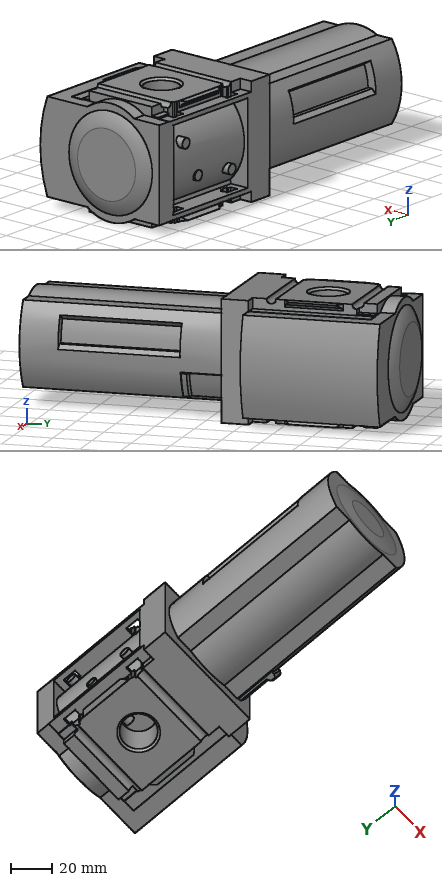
import cadquery as cq
import math

LENGTH = 192.0
BODY_SIZE = 62.0
HALF = BODY_SIZE / 2
OVERLAP = 1.0

FLANGE_FRONT = 105.0
FLANGE_BACK = 118.8
PAD_BACK = 181.2
PLATE_BACK = 188.7

LEDGE_Z = 25.5
COVER_Z = 25.7
COVER_EDGE_X = 40.3
COVER_CROWN_X = 44.83
PAD_HALF_X = 24.0
CAP_HALF_X = 15.0
CAP_CROWN_Z = 30.5
DOME_BASE_R = 26.5
DOME_TOP_R = 18.5
DOME_MID_R = 23.2
DOME_MID_Y = 190.7

PORT_Y = 150.1
PORT_D = 18.6
PORT_RIM_D = 21.1
PORT_DEPTH = 23.0
GROOVE_R = 2.4
GROOVE_STATIONS = (128.3, 172.0)
NOTCH_INNER_X = 20.0
NOTCH_FLOOR_Z = 26.3

LIP_REACH = 2.9
LIP_BEND_REACH = 0.8
LIP_LENGTH = 30.0
LIP_ROOT_Z = 27.5
LIP_BEND_Z = 28.8
LIP_TIP_Z = 30.5
LIP_TOP_Z = 31.0

SLOT_STATIONS = (129.6, 170.5)
SLOT_OUTER_X = 27.8
SLOT_NECK_X = 23.6
SLOT_INNER_X = 22.5
SLOT_HEAD_WIDTH = 7.5
SLOT_NECK_WIDTH = 4.5

WINDOW_FRONT = 121.5
WINDOW_BACK = 178.0
WINDOW_HALF_Z = 23.0
BOWL_R = 28.8
BOWL_HALF_Z = 21.0
BOWL_FOOT_X = 20.4
PIN_D = 5.5
TALL_PIN_X = 30.1
FLUSH_PIN_X = 28.5
PINS = (
    (167.5, 11.0, TALL_PIN_X),
    (156.0, -8.6, FLUSH_PIN_X),
    (132.5, -11.0, TALL_PIN_X),
)

GUARD_FRONT = 1.0
GUARD_HALF_X = 28.0
GUARD_FLAT_Z = 21.8
GUARD_CORNER_X = 21.7
GUARD_CROWN_Z = 24.67
GUARD_CROWN_HALF_X = 12.3
TIP_BASE_R = 21.7
TIP_FLAT_R = 11.3
GUARD_SIDE_RISE = GUARD_HALF_X - GUARD_CORNER_X
GUARD_SIDE_R = (GUARD_FLAT_Z**2 + GUARD_SIDE_RISE**2) / (2 * GUARD_SIDE_RISE)
GUARD_SIDE_CENTER = GUARD_SIDE_R - GUARD_HALF_X

SIGHT_FRONT = 20.7
SIGHT_BACK = 83.0
SIGHT_TOP_Z = 16.1
SIGHT_FLOOR_TOP_Z = 13.5
SIGHT_FLOOR_LOW_Z = 2.0
SIGHT_LOW_Z = -0.4
SIGHT_SHELF_DEPTH = 2.3
SIGHT_DEPTH = 4.8

LATCH_TOP_Z = -7.9
LATCH_LOW_Z = -20.0
LATCH_FRONT = 83.3
LATCH_RISE = 1.25
BUMP_RISE = 3.0
BUMP_LENGTH = 4.6


def box(x0, x1, y0, y1, z0, z1):
    """Box between two corners."""
    size = cq.Workplane("XY").box(x1 - x0, y1 - y0, z1 - z0, centered=False)
    return size.translate((x0, y0, z0))


def section(y0):
    """Workplane at Y = y0 with local x = X, local y = Z; extrude(-d) goes to +Y."""
    return cq.Workplane("XZ", origin=(0, y0, 0))


def both_pads(top_feature):
    """A feature of the +Z pad together with its copy on the -Z pad."""
    return top_feature.union(top_feature.mirror("XY"))


def arc_x(radius, center_x, z):
    """X of a circle about (center_x, 0) on its +X side at height z."""
    return center_x + math.sqrt(radius**2 - z**2)


def make_head():
    """Square flange, recessed middle, side cover, back plate and dome."""
    flange = box(-HALF, HALF, FLANGE_FRONT, FLANGE_BACK, -HALF, HALF)
    middle = box(-HALF, HALF, FLANGE_FRONT, PLATE_BACK, -LEDGE_Z, LEDGE_Z)
    plate = box(-HALF, HALF, PAD_BACK, PLATE_BACK, -COVER_Z, COVER_Z)
    cover = (
        section(FLANGE_BACK)
        .moveTo(HALF, -COVER_Z)
        .lineTo(COVER_EDGE_X, -COVER_Z)
        .threePointArc((COVER_CROWN_X, 0), (COVER_EDGE_X, COVER_Z))
        .lineTo(HALF, COVER_Z)
        .close()
        .extrude(FLANGE_BACK - PLATE_BACK)
    )
    cap = (
        section(PAD_BACK - OVERLAP)
        .moveTo(-CAP_HALF_X, -COVER_Z)
        .threePointArc((0, -CAP_CROWN_Z), (CAP_HALF_X, -COVER_Z))
        .lineTo(CAP_HALF_X, COVER_Z)
        .threePointArc((0, CAP_CROWN_Z), (-CAP_HALF_X, COVER_Z))
        .close()
        .extrude(PAD_BACK - OVERLAP - PLATE_BACK)
    )
    dome = (
        cq.Workplane("XY")
        .moveTo(0, PLATE_BACK - OVERLAP)
        .lineTo(DOME_BASE_R, PLATE_BACK - OVERLAP)
        .lineTo(DOME_BASE_R, PLATE_BACK)
        .threePointArc((DOME_MID_R, DOME_MID_Y), (DOME_TOP_R, LENGTH))
        .lineTo(0, LENGTH)
        .close()
        .revolve(360, (0, 0, 0), (0, 1, 0))
    )
    return flange.union(middle).union(plate).union(cover).union(cap).union(dome)


def make_pad():
    """Raised +Z pad with cross grooves and two notched back corners."""
    pad = box(-PAD_HALF_X, PAD_HALF_X, FLANGE_BACK - OVERLAP, PAD_BACK, LEDGE_Z - OVERLAP, HALF)
    notch_front = GROOVE_STATIONS[1]
    notch = box(NOTCH_INNER_X, HALF, notch_front, PAD_BACK, NOTCH_FLOOR_Z, HALF)
    pad = pad.cut(notch).cut(notch.mirror("YZ"))
    for groove_y in GROOVE_STATIONS:
        groove = (
            cq.Workplane("YZ", origin=(-HALF, groove_y, HALF))
            .circle(GROOVE_R)
            .extrude(BODY_SIZE)
        )
        pad = pad.cut(groove)
    return pad


def make_lip():
    """Lip on the +X edge of the +Z pad: undercut in profile, tapered at 45 degrees in plan."""
    root_x = PAD_HALF_X - OVERLAP
    tip_x = PAD_HALF_X + LIP_REACH
    profile = (
        section(PORT_Y - LIP_LENGTH / 2)
        .polyline([
            (root_x, LIP_ROOT_Z),
            (PAD_HALF_X, LIP_ROOT_Z),
            (PAD_HALF_X + LIP_BEND_REACH, LIP_BEND_Z),
            (tip_x, LIP_TIP_Z),
            (PAD_HALF_X, LIP_TOP_Z),
            (root_x, LIP_TOP_Z),
        ])
        .close()
        .extrude(-LIP_LENGTH)
    )
    half_root = LIP_LENGTH / 2
    half_tip = half_root - LIP_REACH
    plan = (
        cq.Workplane("XY")
        .polyline([
            (root_x, PORT_Y - half_root),
            (PAD_HALF_X, PORT_Y - half_root),
            (tip_x, PORT_Y - half_tip),
            (tip_x, PORT_Y + half_tip),
            (PAD_HALF_X, PORT_Y + half_root),
            (root_x, PORT_Y + half_root),
        ])
        .close()
        .extrude(HALF)
    )
    return profile.intersect(plan)


def make_slot(slot_y):
    """Cutter for one T-shaped slot through the +Z ledge into the window."""
    head = box(
        -SLOT_OUTER_X, -SLOT_NECK_X,
        slot_y - SLOT_HEAD_WIDTH / 2, slot_y + SLOT_HEAD_WIDTH / 2,
        WINDOW_HALF_Z - OVERLAP, HALF,
    )
    neck = box(
        -SLOT_NECK_X, -SLOT_INNER_X,
        slot_y - SLOT_NECK_WIDTH / 2, slot_y + SLOT_NECK_WIDTH / 2,
        WINDOW_HALF_Z - OVERLAP, HALF,
    )
    return head.union(neck)


def make_port():
    """Cutter for the port in the +Z pad, with its countersunk rim."""
    rim_depth = (PORT_RIM_D - PORT_D) / 2
    bore_r = PORT_D / 2
    return (
        cq.Workplane("XZ")
        .polyline([
            (0, HALF - PORT_DEPTH),
            (bore_r, HALF - PORT_DEPTH),
            (bore_r, HALF - rim_depth),
            (PORT_RIM_D / 2, HALF),
            (0, HALF),
        ])
        .close()
        .revolve(360, (0, 0, 0), (0, 1, 0))
        .translate((0, PORT_Y, 0))
    )


def make_window():
    """Cutter for the -X window that leaves the rounded bowl standing inside."""
    bowl_edge_x = -arc_x(BOWL_R, 0, BOWL_HALF_Z)
    return (
        section(WINDOW_FRONT)
        .moveTo(-HALF, WINDOW_HALF_Z)
        .lineTo(-BOWL_FOOT_X, WINDOW_HALF_Z)
        .lineTo(bowl_edge_x, BOWL_HALF_Z)
        .threePointArc((-BOWL_R, 0), (bowl_edge_x, -BOWL_HALF_Z))
        .lineTo(-BOWL_FOOT_X, -WINDOW_HALF_Z)
        .lineTo(-HALF, -WINDOW_HALF_Z)
        .close()
        .extrude(WINDOW_FRONT - WINDOW_BACK)
    )


def make_pin(pin_y, pin_z, outer_x):
    """Pin standing out of the bowl along -X."""
    return cq.Workplane("YZ").center(pin_y, pin_z).circle(PIN_D / 2).extrude(-outer_x)


def make_guard():
    """Bowl guard: bowed sides, flats, a rounded crown above and below, conical tip."""
    corner_x = GUARD_CORNER_X
    crown_x = GUARD_CROWN_HALF_X
    flat_z = GUARD_FLAT_Z
    guard = (
        section(GUARD_FRONT)
        .moveTo(-corner_x, -flat_z)
        .lineTo(-crown_x, -flat_z)
        .threePointArc((0, -GUARD_CROWN_Z), (crown_x, -flat_z))
        .lineTo(corner_x, -flat_z)
        .threePointArc((GUARD_HALF_X, 0), (corner_x, flat_z))
        .lineTo(crown_x, flat_z)
        .threePointArc((0, GUARD_CROWN_Z), (-crown_x, flat_z))
        .lineTo(-corner_x, flat_z)
        .threePointArc((-GUARD_HALF_X, 0), (-corner_x, -flat_z))
        .close()
        .extrude(GUARD_FRONT - FLANGE_FRONT - OVERLAP)
    )
    tip = (
        cq.Workplane("XY")
        .polyline([
            (0, 0),
            (TIP_FLAT_R, 0),
            (TIP_BASE_R, GUARD_FRONT),
            (TIP_BASE_R, GUARD_FRONT + OVERLAP),
            (0, GUARD_FRONT + OVERLAP),
        ])
        .close()
        .revolve(360, (0, 0, 0), (0, 1, 0))
    )
    return guard.union(tip)


def make_sight_window():
    """Cutter for the +X sight window: sloped long walls, a low shelf and a bowed floor."""
    def side_point(z, depth):
        return (arc_x(GUARD_SIDE_R - depth, -GUARD_SIDE_CENTER, z), z)

    middle_z = (SIGHT_FLOOR_TOP_Z + SIGHT_FLOOR_LOW_Z) / 2
    return (
        section(SIGHT_FRONT)
        .moveTo(HALF, SIGHT_LOW_Z)
        .lineTo(*side_point(SIGHT_LOW_Z, 0))
        .lineTo(*side_point(SIGHT_FLOOR_LOW_Z, SIGHT_SHELF_DEPTH))
        .lineTo(*side_point(SIGHT_FLOOR_LOW_Z, SIGHT_DEPTH))
        .threePointArc(side_point(middle_z, SIGHT_DEPTH), side_point(SIGHT_FLOOR_TOP_Z, SIGHT_DEPTH))
        .lineTo(*side_point(SIGHT_TOP_Z, 0))
        .lineTo(HALF, SIGHT_TOP_Z)
        .close()
        .extrude(SIGHT_FRONT - SIGHT_BACK)
    )


def make_latch():
    """Thin strip on the +X side of the guard ending in a tapered bump."""
    band = box(0, HALF, LATCH_FRONT, FLANGE_FRONT + OVERLAP, LATCH_LOW_Z, LATCH_TOP_Z)
    core_r = GUARD_SIDE_R - OVERLAP
    strip_r = GUARD_SIDE_R + LATCH_RISE
    bump_r = GUARD_SIDE_R + BUMP_RISE
    bump_taper = (BUMP_RISE - LATCH_RISE) / 2
    bump_back = LATCH_FRONT + BUMP_LENGTH
    profile = [
        (core_r, LATCH_FRONT),
        (strip_r, LATCH_FRONT),
        (bump_r, LATCH_FRONT + bump_taper),
        (bump_r, bump_back - bump_taper),
        (strip_r, bump_back),
        (strip_r, FLANGE_FRONT + OVERLAP),
        (core_r, FLANGE_FRONT + OVERLAP),
    ]
    ring = cq.Workplane("XY").polyline(profile).close().revolve(360, (0, 0, 0), (0, 1, 0))
    return ring.translate((-GUARD_SIDE_CENTER, 0, 0)).intersect(band)


part = make_head().union(both_pads(make_pad()))
lip = make_lip()
part = part.union(both_pads(lip.union(lip.mirror("YZ"))))
part = part.cut(both_pads(make_port()))
for station in SLOT_STATIONS:
    part = part.cut(both_pads(make_slot(station)))
part = part.cut(make_window())
for pin in PINS:
    part = part.union(make_pin(*pin))

sight_window = make_sight_window()
guard = make_guard().cut(sight_window).cut(sight_window.mirror("YZ"))
result = part.union(guard).union(make_latch())